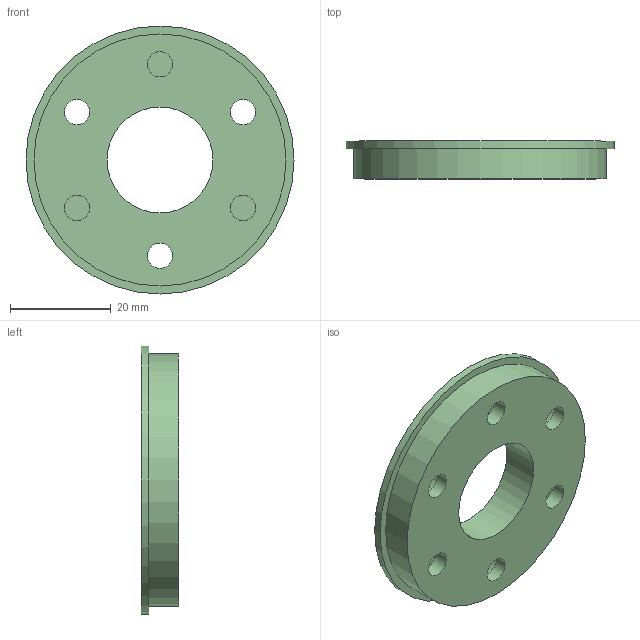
import math

import cadquery as cq

total_thickness = 7.5
flange_thickness = 1.5
flange_diameter = 53.15
body_diameter = 50.0
bore_diameter = 21.0

hole_count = 6
hole_diameter = 5.0
hole_circle_diameter = 38.0
first_hole_angle = 30.0
blind_hole_depth = 3.0

counterbore_diameter = 9.0
counterbore_web = 2.5

front_y = 0.0


def cylinder(diameter, start_y, length, x=0.0, z=0.0):
    """Solid cylinder along +Y, starting at start_y."""
    return cq.Workplane(
        cq.Solid.makeCylinder(
            diameter / 2, length, cq.Vector(x, start_y, z), cq.Vector(0, 1, 0)
        )
    )


def make_ring():
    """Flanged disc with a central bore."""
    body = cylinder(body_diameter, front_y, total_thickness)
    flange_start = front_y + total_thickness - flange_thickness
    flange = cylinder(flange_diameter, flange_start, flange_thickness)
    bore = cylinder(bore_diameter, front_y, total_thickness)
    return body.union(flange).cut(bore)


def through_hole(x, z):
    """Through hole with its counterbore, as a cutting solid."""
    counterbore_start = front_y + counterbore_web
    counterbore_depth = total_thickness - counterbore_web
    counterbore = cylinder(counterbore_diameter, counterbore_start, counterbore_depth, x, z)
    return cylinder(hole_diameter, front_y, total_thickness, x, z).union(counterbore)


def cut_holes(ring):
    """Cut the hole circle: even positions go through, odd ones are blind."""
    for index in range(hole_count):
        angle = math.radians(first_hole_angle + index * 360.0 / hole_count)
        x = hole_circle_diameter / 2 * math.cos(angle)
        z = hole_circle_diameter / 2 * math.sin(angle)
        if index % 2 == 0:
            ring = ring.cut(through_hole(x, z))
        else:
            ring = ring.cut(cylinder(hole_diameter, front_y, blind_hole_depth, x, z))
    return ring


result = cut_holes(make_ring())